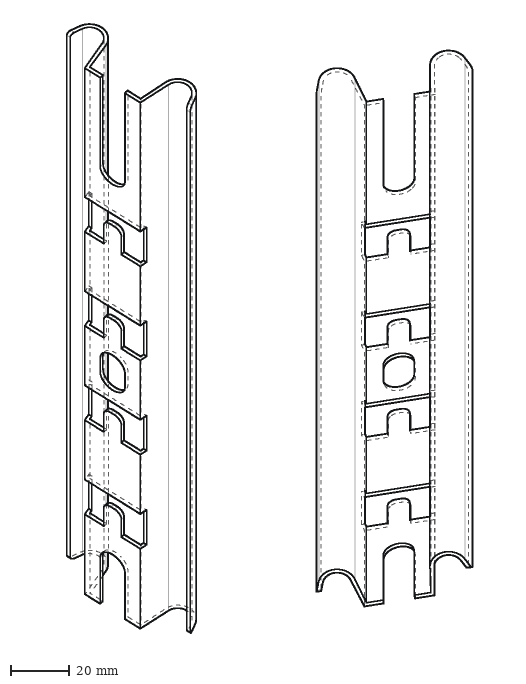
import cadquery as cq
import math

length = 280.0
width = 55.0
height = 18.0
thickness = 1.5

base_half_width = 12.3
bead_radius = 6.5
web_lean = math.radians(10)
lip_lean = math.radians(20)
lip_end_y = 8.7
lip_corner_radius = 1.7

slot_width = 11.0
top_slot_depth = 52.5
bottom_slot_depth = 30.2
oval_length = 18.5
oval_center_z = 127.0

window_count = 4
window_pitch = 50.0
window_height = 18.5
first_window_bottom = 42.5
window_cut_y = 2.8
tongue_width = 7.8
tongue_height = 12.5
tongue_corner_radius = 3.0

WEB = -1
LIP = 1

bead_y = height - bead_radius
bead_x = width / 2 - bead_radius / math.cos(lip_lean) - (bead_y - lip_end_y) * math.tan(lip_lean)


def flank_lean(side):
    return web_lean if side == WEB else lip_lean


def flank_x(side, radius, y):
    """X, at height y, of the flank line tangent to a bead circle."""
    lean = flank_lean(side)
    return bead_x + side * (radius / math.cos(lean) + (bead_y - y) * math.tan(lean))


def tangent_point(side, radius):
    """Point where a flank line meets a bead circle."""
    lean = flank_lean(side)
    return (bead_x + side * radius * math.cos(lean), bead_y + radius * math.sin(lean))


def half_profile():
    """Right half of the section: half the base, web, rounded bead and outer lip."""
    inner_radius = bead_radius - thickness
    return (
        cq.Workplane("XY")
        .moveTo(0, 0)
        .lineTo(base_half_width, 0)
        .lineTo(*tangent_point(WEB, inner_radius))
        .threePointArc((bead_x, bead_y + inner_radius), tangent_point(LIP, inner_radius))
        .lineTo(flank_x(LIP, inner_radius, lip_end_y), lip_end_y)
        .lineTo(flank_x(LIP, bead_radius, lip_end_y), lip_end_y)
        .lineTo(*tangent_point(LIP, bead_radius))
        .threePointArc((bead_x, height), tangent_point(WEB, bead_radius))
        .lineTo(flank_x(WEB, bead_radius, thickness), thickness)
        .lineTo(0, thickness)
        .close()
    )


def make_rail():
    half = half_profile().extrude(length)
    lip_end = half.faces(cq.selectors.NearestToPointSelector((width / 2, lip_end_y, length / 2)))
    half = lip_end.edges("|X").fillet(lip_corner_radius)
    return half.union(half.mirror("YZ"))


def slot_cutter(bottom, top):
    """Vertical round-ended slot through the base, between two Z levels."""
    return (
        cq.Workplane("XZ")
        .center(0, (bottom + top) / 2)
        .slot2D(top - bottom, slot_width, 90)
        .extrude(-2 * thickness)
    )


def window_cutter(bottom):
    """Window through the base and the feet of the webs, leaving the tongue."""
    opening = cq.Workplane("XY").box(
        width / 2, window_cut_y, window_height, centered=(True, False, False)
    )
    tongue = (
        cq.Workplane("XY")
        .box(tongue_width, window_cut_y, tongue_height, centered=(True, False, False))
        .edges("|Y and >Z")
        .fillet(tongue_corner_radius)
    )
    return opening.cut(tongue).translate((0, 0, bottom))


result = make_rail()

result = result.cut(slot_cutter(length - top_slot_depth, length + slot_width))
result = result.cut(slot_cutter(-slot_width, bottom_slot_depth))
result = result.cut(slot_cutter(oval_center_z - oval_length / 2, oval_center_z + oval_length / 2))

for index in range(window_count):
    result = result.cut(window_cutter(first_window_bottom + index * window_pitch))